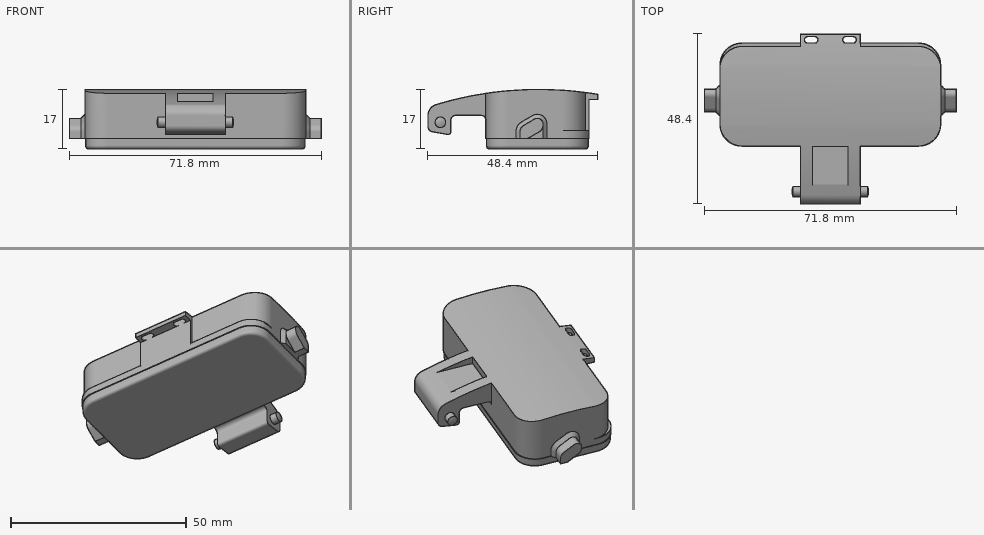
import cadquery as cq
import math

overall_length = 71.8

housing_length = 63.0
housing_half_width = 14.7
housing_corner = 6.3
base_inset = 0.2
base_height = 2.95
base_edge_round = 0.85
ledge_top = 5.25
ledge_depth = 1.0

crown_radius = 100.5
crown_center_y = 0.35
crown_top = 17.0

spine_width = 17.1
tab_end_y = 17.2
tab_underside = 14.1
arm_end_y = -31.2
arm_underside = 9.55
hook_inner_y = -24.6
hook_low = 3.95
hook_slope_degrees = 10.0
arm_inner_round = 1.3
hook_tip_round = 0.85
hook_heel_round = 1.65
arm_nose_round = 3.4

recess_width = 10.2
recess_front_y = -25.7

slot_length = 3.8
slot_width = 1.8
slot_spacing = 10.9

pin_diameter = 3.0
pin_length = 21.8
pin_dome = 0.3
pin_y = -27.65
pin_z = 7.6

lug_rear_y = 1.6
lug_front_y = -4.95
lug_top_arc_z = 7.2
lug_bottom_arc_z = 6.75
lug_rear_round = 1.6
lug_side_round = 2.15
lug_slope_degrees = 30.0
flare_size = 1.15


def crown_height(y):
    """Height of the crowned top at a place along Y."""
    rise = math.sqrt(crown_radius**2 - (y - crown_center_y) ** 2)
    return crown_top - crown_radius + rise


def rounded_block(rear_y, inset, bottom, top):
    """Block with rounded upright corners, from the front wall back to rear_y."""
    front_y = -housing_half_width + inset
    return (
        cq.Workplane("XY", origin=(0, (front_y + rear_y) / 2, bottom))
        .rect(housing_length - 2 * inset, rear_y - front_y)
        .extrude(top - bottom)
        .edges("|Z")
        .fillet(housing_corner - inset)
    )


def crown_cylinder():
    return (
        cq.Workplane("YZ", origin=(-overall_length / 2, crown_center_y, crown_top - crown_radius))
        .circle(crown_radius)
        .extrude(overall_length)
    )


def housing():
    base = rounded_block(housing_half_width - base_inset, base_inset, 0, base_height)
    base = base.faces("<Z").edges().fillet(base_edge_round)
    ledge = rounded_block(housing_half_width, 0, base_height, ledge_top)
    upper = rounded_block(housing_half_width - ledge_depth, 0, base_height, crown_top)
    return base.union(ledge).union(upper.intersect(crown_cylinder()))


def spine():
    """Rear tab, web and hooked front arm as one profile swept across X."""
    hook_run = hook_inner_y - arm_end_y
    heel_z = hook_low + hook_run * math.tan(math.radians(hook_slope_degrees))
    outline = [
        (tab_end_y, crown_top),
        (tab_end_y, tab_underside),
        (housing_half_width, tab_underside),
        (housing_half_width, base_height),
        (-housing_half_width, base_height),
        (-housing_half_width, arm_underside),
        (hook_inner_y, arm_underside),
        (hook_inner_y, hook_low),
        (arm_end_y, heel_z),
        (arm_end_y, crown_top),
    ]
    body = (
        cq.Workplane("YZ", origin=(-spine_width / 2, 0, 0))
        .polyline(outline)
        .close()
        .extrude(spine_width)
        .intersect(crown_cylinder())
    )
    corner_rounds = [
        (-housing_half_width, arm_underside, arm_inner_round),
        (hook_inner_y, arm_underside, arm_inner_round),
        (hook_inner_y, hook_low, hook_tip_round),
        (arm_end_y, heel_z, hook_heel_round),
        (arm_end_y, crown_height(arm_end_y), arm_nose_round),
    ]
    for y, z, radius in corner_rounds:
        corner = cq.selectors.NearestToPointSelector((0, y, z))
        body = body.edges("|X").edges(corner).fillet(radius)
    return body


def arm_recess():
    floor_z = crown_height(recess_front_y)
    return cq.Workplane("XY").box(
        recess_width,
        -housing_half_width - recess_front_y,
        crown_top - floor_z,
        centered=(True, False, False),
    ).translate((0, recess_front_y, floor_z))


def tab_slots():
    slot_y = housing_half_width + slot_width / 2
    return (
        cq.Workplane("XY", origin=(0, slot_y, tab_underside))
        .pushPoints([(-slot_spacing / 2, 0), (slot_spacing / 2, 0)])
        .slot2D(slot_length, slot_width)
        .extrude(crown_top - tab_underside)
    )


def hinge_pin():
    """Cylinder along X with shallow domed ends, revolved from its half profile."""
    radius = pin_diameter / 2
    tip_x = pin_length / 2
    rim_x = tip_x - pin_dome
    dome_radius = (radius**2 + pin_dome**2) / (2 * pin_dome)
    half_angle = math.asin(radius / dome_radius) / 2
    mid_x = tip_x - dome_radius * (1 - math.cos(half_angle))
    mid_r = dome_radius * math.sin(half_angle)
    return (
        cq.Workplane("XY", origin=(0, pin_y, pin_z))
        .moveTo(-tip_x, 0)
        .threePointArc((-mid_x, mid_r), (-rim_x, radius))
        .lineTo(rim_x, radius)
        .threePointArc((mid_x, mid_r), (tip_x, 0))
        .close()
        .revolve(360, (0, 0, 0), (1, 0, 0))
    )


def arc_point(center_y, center_z, radius, degrees):
    """Point on a round, with the angle measured from +Y towards +Z."""
    angle = math.radians(degrees)
    return (center_y + radius * math.cos(angle), center_z + radius * math.sin(angle))


def lug_top_outline(plane):
    """Upper edge of a lug, from its rear side over the slope to its front side."""
    slope_normal = 90 + lug_slope_degrees
    slope = math.radians(lug_slope_degrees)
    top_y = lug_rear_y - lug_rear_round
    front_y = lug_front_y + lug_side_round

    radius_step = lug_side_round - lug_rear_round
    front_z = lug_top_arc_z - (radius_step + (top_y - front_y) * math.sin(slope)) / math.cos(slope)
    top = (top_y, lug_top_arc_z, lug_rear_round)
    front = (front_y, front_z, lug_side_round)
    return (
        plane.moveTo(lug_rear_y, lug_top_arc_z)
        .threePointArc(arc_point(*top, slope_normal / 2), arc_point(*top, slope_normal))
        .lineTo(*arc_point(*front, slope_normal))
        .threePointArc(arc_point(*front, (slope_normal + 180) / 2), arc_point(*front, 180))
    )


def side_lug():
    """Lug on the +X wall with its flared foot."""
    wall_x = housing_length / 2
    foot_x = wall_x + flare_size
    below_base = base_height - 2 * flare_size

    foot = (
        lug_top_outline(cq.Workplane("YZ", origin=(foot_x, 0, 0)))
        .lineTo(lug_front_y, below_base)
        .lineTo(lug_rear_y, below_base)
        .close()
        .extrude(-flare_size, taper=-45)
    )

    rear = (lug_rear_y - lug_side_round, lug_bottom_arc_z, lug_side_round)
    lower_angle = lug_slope_degrees - 90
    slope_start = arc_point(*rear, lower_angle)
    slope_drop = (slope_start[0] - lug_front_y) * math.tan(math.radians(lug_slope_degrees))
    bar = (
        lug_top_outline(cq.Workplane("YZ", origin=(wall_x, 0, 0)))
        .lineTo(lug_front_y, slope_start[1] - slope_drop)
        .lineTo(*slope_start)
        .threePointArc(arc_point(*rear, lower_angle / 2), (lug_rear_y, lug_bottom_arc_z))
        .close()
        .extrude(overall_length / 2 - wall_x)
    )

    above_base = cq.Workplane("XY", origin=(0, 0, base_height)).box(
        overall_length, 2 * housing_half_width, crown_top, centered=(True, True, False)
    )
    return foot.union(bar).intersect(above_base)


lug = side_lug()
result = (
    housing()
    .union(spine())
    .cut(arm_recess())
    .cut(tab_slots())
    .union(hinge_pin())
    .union(lug)
    .union(lug.mirror("YZ"))
)